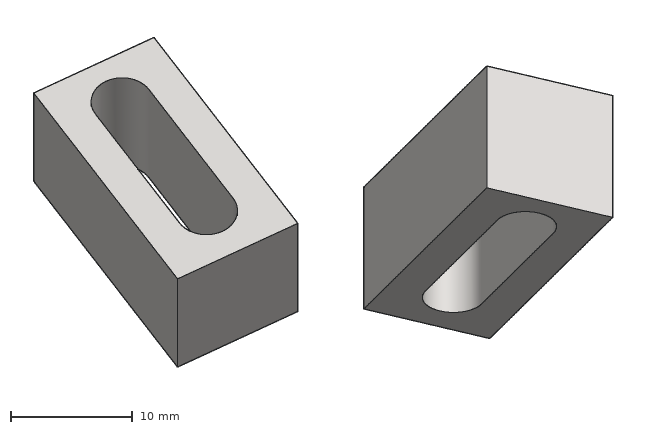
import cadquery as cq

length = 23.0
width = 11.5
height = 11.4

slot_length = 18.55
slot_width = 5.1
slot_offset_x = -0.23

block = cq.Workplane("XY").box(length, width, height)

result = (
    block.faces(">Z")
    .workplane()
    .center(slot_offset_x, 0)
    .slot2D(slot_length, slot_width)
    .cutThruAll()
)